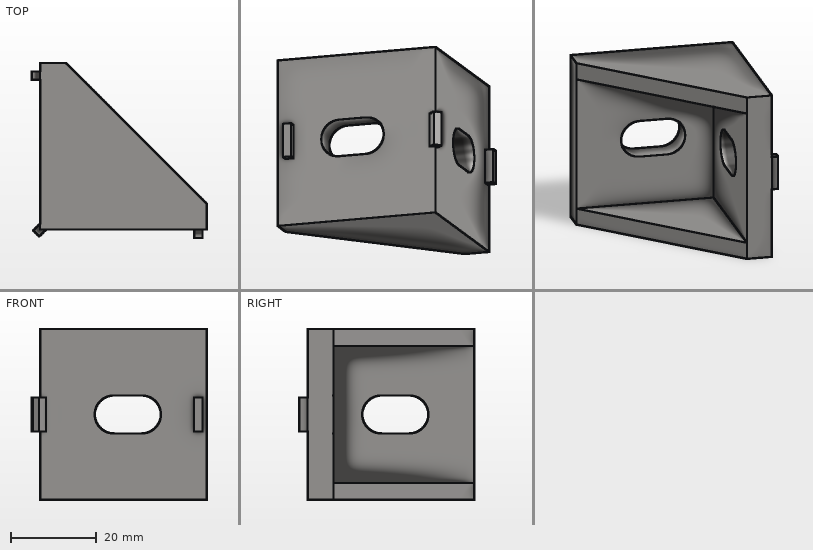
import cadquery as cq

leg_length = 39.0
height = 40.0
wall = 6.0
side_plate = 4.0

slot_length = 15.4
slot_width = 8.8
slot_centre = 20.5

tab_size = 2.0
tab_height = 8.0
x_leg_tab_centre = 37.0
y_leg_tab_centre = 36.0
corner_tab_reach = 1.3
corner_tab_depth = 3.0

mid_height = height / 2


def make_body():
    """Right-angled block with a diagonal back and flat leg ends."""
    return (
        cq.Workplane("XY")
        .polyline([
            (0, 0),
            (leg_length, 0),
            (leg_length, wall),
            (wall, leg_length),
            (0, leg_length),
        ])
        .close()
        .extrude(height)
    )


def make_cavity():
    """Triangular hollow between the legs and plates, open at the diagonal back."""
    return (
        cq.Workplane("XY", origin=(0, 0, side_plate))
        .polyline([
            (wall, wall),
            (leg_length, wall),
            (wall, leg_length),
        ])
        .close()
        .extrude(height - 2 * side_plate)
    )


def make_x_leg_slot():
    """Horizontal slot through the leg along X."""
    return (
        cq.Workplane("XZ")
        .center(slot_centre, mid_height)
        .slot2D(slot_length, slot_width)
        .extrude(-wall)
    )


def make_y_leg_slot():
    """Horizontal slot through the leg along Y."""
    return (
        cq.Workplane("YZ")
        .center(slot_centre, mid_height)
        .slot2D(slot_length, slot_width)
        .extrude(wall)
    )


def make_tab(x, y):
    """Upright square tab centred at (x, y) and at half height."""
    return (
        cq.Workplane("XY")
        .box(tab_size, tab_size, tab_height)
        .translate((x, y, mid_height))
    )


def make_corner_tab():
    """Tab turned to the diagonal, straddling the outer corner."""
    centre = corner_tab_depth / 2 - corner_tab_reach
    return (
        cq.Workplane("XY")
        .box(corner_tab_depth, tab_size, tab_height)
        .translate((centre, 0, mid_height))
        .rotate((0, 0, 0), (0, 0, 1), 45)
    )


result = (
    make_body()
    .cut(make_cavity())
    .cut(make_x_leg_slot())
    .cut(make_y_leg_slot())
    .union(make_tab(x_leg_tab_centre, -tab_size / 2))
    .union(make_tab(-tab_size / 2, y_leg_tab_centre))
    .union(make_corner_tab())
)